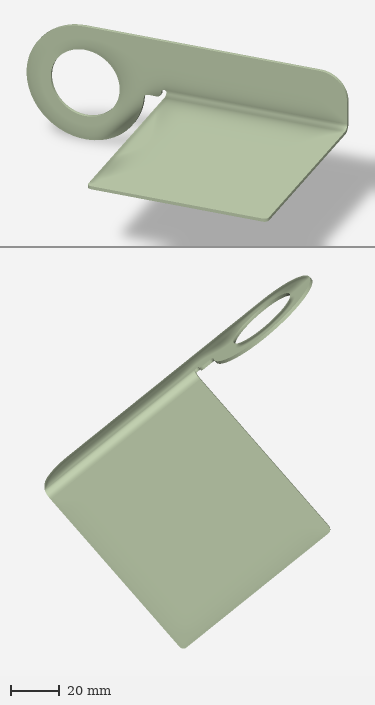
import cadquery as cq
import math

length = 142.0
depth = 88.0
sheet = 1.4

ring_radius = 26.0
hole_diameter = 30.5

wall_corner_radius = 12.0
step_corner_radius = 2.0
ring_blend_radius = 2.0

flange_width = 80.0
flange_corner_radius = 2.0
bend_inner_radius = 2.3

slot_width = 2.4

right_end = length - ring_radius
flange_left = right_end - flange_width
slot_left = flange_left - slot_width
slot_radius = slot_width / 2
bend_outer_radius = bend_inner_radius + sheet
bend_top = bend_outer_radius


def point_on_circle(center, radius, angle):
    """Point on a circle, with the angle in degrees from the first axis."""
    radians = math.radians(angle)
    return (center[0] + radius * math.cos(radians), center[1] + radius * math.sin(radians))


def make_wall():
    """Upright plate: ring, arm, relief slot and the small step between slot and ring."""
    ring_center = (0, 0)
    corner_center = (right_end - wall_corner_radius, ring_radius - wall_corner_radius)
    step_center = (slot_left - step_corner_radius, step_corner_radius)

    blend_z = -ring_blend_radius
    blend_x = math.sqrt((ring_radius + ring_blend_radius) ** 2 - blend_z**2)
    blend_center = (blend_x, blend_z)
    ring_touch_angle = math.degrees(math.atan2(blend_z, blend_x))
    ring_touch = point_on_circle(ring_center, ring_radius, ring_touch_angle)

    blend_middle_angle = (90 + 180 + ring_touch_angle) / 2
    ring_middle_angle = (ring_touch_angle - 270) / 2

    plate = (
        cq.Workplane("XZ")
        .moveTo(0, ring_radius)
        .lineTo(corner_center[0], ring_radius)
        .threePointArc(
            point_on_circle(corner_center, wall_corner_radius, 45),
            (right_end, corner_center[1]),
        )
        .lineTo(right_end, bend_top)
        .lineTo(flange_left, bend_top)
        .lineTo(flange_left, bend_top - slot_radius)
        .threePointArc(
            (slot_left + slot_radius, bend_top),
            (slot_left, bend_top - slot_radius),
        )
        .lineTo(slot_left, step_center[1])
        .threePointArc(
            point_on_circle(step_center, step_corner_radius, -45),
            (step_center[0], 0),
        )
        .lineTo(blend_x, 0)
        .threePointArc(
            point_on_circle(blend_center, ring_blend_radius, blend_middle_angle),
            ring_touch,
        )
        .threePointArc(
            point_on_circle(ring_center, ring_radius, ring_middle_angle),
            (0, ring_radius),
        )
        .close()
        .extrude(sheet)
    )
    hole = cq.Workplane("XZ").circle(hole_diameter / 2).extrude(sheet)
    return plate.cut(hole)


def make_flange():
    """Quarter-round bend followed by the flat flange with rounded front corners."""
    bend_front = -bend_outer_radius
    bend_center = (bend_front, bend_top)
    flange = (
        cq.Workplane("YZ", origin=(flange_left, 0, 0))
        .moveTo(0, bend_top)
        .threePointArc(point_on_circle(bend_center, bend_outer_radius, -45), (bend_front, 0))
        .lineTo(-depth, 0)
        .lineTo(-depth, sheet)
        .lineTo(bend_front, sheet)
        .threePointArc(point_on_circle(bend_center, bend_inner_radius, -45), (-sheet, bend_top))
        .close()
        .extrude(flange_width)
    )
    return flange.faces("<Y").edges("|Z").fillet(flange_corner_radius)


result = make_wall().union(make_flange())